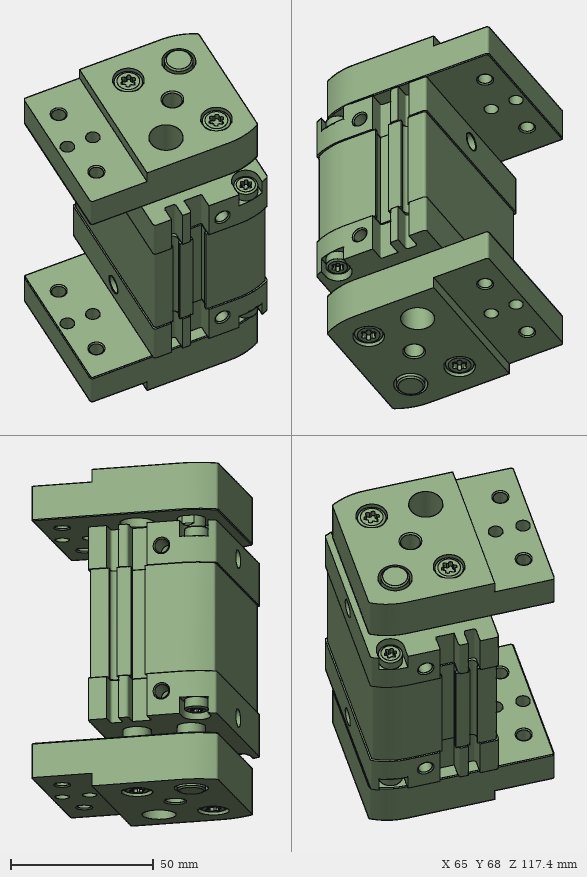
import cadquery as cq
import math

housing_width = 65.0
housing_depth = 46.0
housing_height = 70.4
cap_height = 15.4
barrel_inset = 0.6
shoulder_arc_length = 12.6
shoulder_arc_drop = 3.2
edge_round = 1.0

housing_top = housing_height / 2
barrel_top = housing_top - cap_height

port_diameter = 6.5
port_mouth_diameter = 6.9
port_below_top = 6.2
port_chamber_diameter = 6.7
port_chamber_height = 7.0
port_chamber_y = 5.4
side_port_diameter = 5.0
side_port_mouth_diameter = 6.0
side_port_below_top = 8.7
side_port_y = 26.8
side_port_depth = 9.4
drill_point_angle = 118

cap_screw_x = 27.7
cap_screw_y = 38.3
cap_pocket_diameter = 10.0
cap_pocket_depth = 5.9
cap_screw_head_diameter = 8.5
cap_screw_head_height = 3.9
cap_screw_socket_size = 4.5

wide_groove_y = 18.1
wide_groove_width = 6.8
narrow_groove_y = 9.0
narrow_groove_width = 4.3
groove_depth = 6.0
rib_round = 1.0
wide_floor_round = 0.5
narrow_floor_round = 0.9

wide_mouth_width = 5.2
wide_cavity_width = 6.5
wide_lip_thickness = 1.2
wide_cavity_depth = 4.8
narrow_mouth_width = 2.8
narrow_cavity_diameter = 4.0
narrow_cavity_x = 29.4

jaw_gap = 5.4
jaw_width = 54.0
jaw_rear_y = 45.0
jaw_front_y = -22.0
jaw_thickness = 17.1
jaw_step = 4.6
jaw_arc_length = 12.7
jaw_arc_drop = 3.4
jaw_edge_chamfer = 0.4

rod_diameter = 10.0
rod_x = 15.0
rod_spacing_y = 19.7
rod_middle_y = 23.1
rod_end_z = 58.7
rod_tip_chamfer = 0.6
rod_clearance_diameter = 12.0
flat_across = 8.9
long_flat_length = 2.8
short_flat_length = 0.1
flat_ramp_angle = 60

jaw_screw_bore_diameter = 11.0
jaw_screw_head_diameter = 10.0
jaw_screw_head_height = 6.0
jaw_screw_recess = 0.6
jaw_screw_socket_size = 5.5
socket_depth = 2.3

center_hole_diameter = 6.9
center_hole_mouth_diameter = 8.0
ledge_hole_diameter = 5.0
ledge_hole_mouth_diameter = 6.0
ledge_screw_hole_y = -14.0
ledge_pin_hole_ys = (-8.0, -18.0)

jaw_inner_z = housing_top + jaw_gap
jaw_outer_z = jaw_inner_z + jaw_thickness
rear_rod_y = rod_middle_y + rod_spacing_y / 2
front_rod_y = rod_middle_y - rod_spacing_y / 2


def cylinder(x, y, bottom_z, top_z, diameter):
    return cq.Workplane("XY", origin=(x, y, bottom_z)).circle(diameter / 2).extrude(top_z - bottom_z)


def box(x_range, y_range, z_range):
    size = [high - low for low, high in (x_range, y_range, z_range)]
    return cq.Workplane("XY", origin=(x_range[0], y_range[0], z_range[0])).box(*size, centered=False)


def flanked_block(width, front_y, rear_y, arc_length, arc_drop, bottom_z, height):
    """Block whose rear flanks curve inward, each arc tangent to its straight side."""
    radius = (arc_length**2 + arc_drop**2) / (2 * arc_drop)
    half_turn = math.asin(arc_length / radius) / 2
    half = width / 2
    arc_start_y = rear_y - arc_length
    middle_x = half - radius * (1 - math.cos(half_turn))
    middle_y = arc_start_y + radius * math.sin(half_turn)
    block = (
        cq.Workplane("XY", origin=(0, 0, bottom_z))
        .moveTo(-half, front_y)
        .lineTo(half, front_y)
        .lineTo(half, arc_start_y)
        .threePointArc((middle_x, middle_y), (half - arc_drop, rear_y))
        .lineTo(arc_drop - half, rear_y)
        .threePointArc((-middle_x, middle_y), (-half, arc_start_y))
        .close()
        .extrude(height)
    )
    corners = block.edges("|Z").edges("<Y or >Y")
    return block.newObject(corners.vals()).fillet(edge_round)


def mouth_chamfer(hole_diameter, mouth_diameter, origin, direction):
    """Cutting cone that widens a hole to its mouth; direction points into the part."""
    depth = (mouth_diameter - hole_diameter) / 2
    cone = cq.Solid.makeCone(mouth_diameter / 2, hole_diameter / 2, depth, origin, direction)
    return cq.Workplane(cone)


def screw_head(x, y, seat_z, diameter, height, socket_size):
    """Bevelled cylinder head with a six-lobed socket."""
    head_top = seat_z + height
    bevel_width = diameter / 10
    bevel_height = diameter / 20
    head = cylinder(x, y, seat_z, head_top, diameter)
    head = head.faces(">Z").chamfer(bevel_height, bevel_width)
    socket_floor = head_top - socket_depth
    lobe_diameter = 0.26 * socket_size
    lobe_reach = (socket_size - lobe_diameter) / 2
    socket = cylinder(x, y, socket_floor, head_top, 0.72 * socket_size)
    for lobe in range(6):
        angle = math.radians(90 + 60 * lobe)
        lobe_x = x + lobe_reach * math.cos(angle)
        lobe_y = y + lobe_reach * math.sin(angle)
        socket = socket.union(cylinder(lobe_x, lobe_y, socket_floor, head_top, lobe_diameter))
    return head.cut(socket)


def turned_over(body):
    """The same body after half a turn about the Y axis."""
    return body.rotate((0, 0, 0), (0, 1, 0), 180)


def barrel_grooves():
    """Left-hand sensor grooves along the barrel: a T-slot and a keyhole slot."""
    z_range = (-barrel_top, barrel_top)
    outside = -housing_width / 2
    face = outside + barrel_inset

    def slot(x_range, middle_y, width):
        return box(x_range, (middle_y - width / 2, middle_y + width / 2), z_range)

    wide_floor = face + wide_cavity_depth
    wide = slot((outside, wide_floor), wide_groove_y, wide_mouth_width)
    wide = wide.union(slot((face + wide_lip_thickness, wide_floor), wide_groove_y, wide_cavity_width))
    narrow = slot((outside, -narrow_cavity_x), narrow_groove_y, narrow_mouth_width)
    keyhole = cylinder(-narrow_cavity_x, narrow_groove_y, *z_range, narrow_cavity_diameter)
    return wide.union(narrow).union(keyhole)


def barrel():
    body = flanked_block(
        housing_width - 2 * barrel_inset,
        barrel_inset,
        housing_depth - barrel_inset,
        shoulder_arc_length - barrel_inset,
        shoulder_arc_drop,
        -barrel_top,
        2 * barrel_top,
    )
    grooves = barrel_grooves()
    return body.cut(grooves).cut(grooves.mirror("YZ"))


def cap_groove(middle_y, width):
    floor = groove_depth - housing_width / 2
    return box(
        (-housing_width / 2, floor),
        (middle_y - width / 2, middle_y + width / 2),
        (barrel_top, housing_top),
    )


def cap_side_features():
    """Everything cut into the left-hand side of the upper cap."""
    outside = -housing_width / 2
    wide = cap_groove(wide_groove_y, wide_groove_width)
    wide = wide.edges("|Z and >X").edges(">Y").fillet(wide_floor_round)
    narrow = cap_groove(narrow_groove_y, narrow_groove_width)
    narrow = narrow.edges("|Z and >X").fillet(narrow_floor_round)
    cut = wide.union(narrow)

    pocket_floor = housing_top - cap_pocket_depth
    half_pocket = cap_pocket_diameter / 2
    cut = cut.union(cylinder(-cap_screw_x, cap_screw_y, pocket_floor, housing_top, cap_pocket_diameter))
    cut = cut.union(
        box(
            (outside, -cap_screw_x),
            (cap_screw_y - half_pocket, cap_screw_y + half_pocket),
            (pocket_floor, housing_top),
        )
    )

    port_z = housing_top - side_port_below_top
    entry = cq.Vector(outside, side_port_y, port_z)
    inward = cq.Vector(1, 0, 0)
    radius = side_port_diameter / 2
    point_length = radius / math.tan(math.radians(drill_point_angle / 2))
    bore = cq.Solid.makeCylinder(radius, side_port_depth, entry, inward)
    point = cq.Solid.makeCone(radius, 0, point_length, entry + inward * side_port_depth, inward)
    mouth = mouth_chamfer(side_port_diameter, side_port_mouth_diameter, entry, inward)
    return cut.union(cq.Workplane(bore)).union(cq.Workplane(point)).union(mouth)


def upper_cap():
    cap = flanked_block(
        housing_width, 0, housing_depth, shoulder_arc_length, shoulder_arc_drop, barrel_top, cap_height
    )
    side = cap_side_features()
    cap = cap.cut(side).cut(side.mirror("YZ"))

    rib_rear_y = wide_groove_y - wide_groove_width / 2
    for sign in (-1, 1):
        rib_corner = (sign * housing_width / 2, rib_rear_y, housing_top - cap_height / 2)
        rib_edge = cq.selectors.NearestToPointSelector(rib_corner)
        cap = cap.edges("|Z").edges(rib_edge).fillet(rib_round)

    port_z = housing_top - port_below_top
    port = cq.Workplane("XZ", origin=(0, 0, port_z)).circle(port_diameter / 2).extrude(-housing_depth)
    entry = cq.Vector(0, 0, port_z)
    cap = cap.cut(port).cut(mouth_chamfer(port_diameter, port_mouth_diameter, entry, cq.Vector(0, 1, 0)))
    chamber_bottom = port_z - port_chamber_height / 2
    chamber_top = port_z + port_chamber_height / 2
    cap = cap.cut(cylinder(0, port_chamber_y, chamber_bottom, chamber_top, port_chamber_diameter))

    seat_z = housing_top - cap_pocket_depth
    for sign in (-1, 1):
        cap = cap.union(
            screw_head(
                sign * cap_screw_x,
                cap_screw_y,
                seat_z,
                cap_screw_head_diameter,
                cap_screw_head_height,
                cap_screw_socket_size,
            )
        )
    return cap


def make_housing():
    cap = upper_cap()
    housing = barrel().union(cap).union(turned_over(cap))
    upper_bores = cylinder(rod_x, rear_rod_y, -housing_top, housing_top, rod_diameter).union(
        cylinder(-rod_x, front_rod_y, -barrel_top, housing_top, rod_diameter)
    )
    return housing.cut(upper_bores).cut(turned_over(upper_bores))


def rod(x, y, bottom_z, flat_length):
    """Rod hanging from the jaw, with two wrench flats that run out in ramps below the jaw."""
    body = cylinder(x, y, bottom_z, jaw_inner_z, rod_diameter)
    flat_depth = (rod_diameter - flat_across) / 2
    flat_end_z = jaw_inner_z - flat_length
    ramp_end_z = flat_end_z - flat_depth * math.tan(math.radians(flat_ramp_angle))
    relief = (
        cq.Workplane("XZ", origin=(x, y + rod_diameter / 2, 0))
        .moveTo(flat_across / 2, jaw_inner_z)
        .lineTo(flat_across / 2, flat_end_z)
        .lineTo(rod_diameter / 2, ramp_end_z)
        .lineTo(rod_diameter / 2, jaw_inner_z)
        .close()
        .extrude(rod_diameter)
    )
    return body.cut(relief).cut(relief.rotate((x, y, 0), (x, y, 1), 180))


def jaw_plate():
    plate = flanked_block(
        jaw_width, jaw_front_y, jaw_rear_y, jaw_arc_length, jaw_arc_drop, jaw_inner_z, jaw_thickness
    )
    plate = plate.faces("<Z").chamfer(jaw_edge_chamfer)
    ledge_z = jaw_outer_z - jaw_step
    plate = plate.cut(box((-jaw_width / 2, jaw_width / 2), (jaw_front_y, 0), (ledge_z, jaw_outer_z)))

    for x, y in ((-rod_x, rear_rod_y), (rod_x, front_rod_y)):
        plate = plate.cut(cylinder(x, y, jaw_inner_z, jaw_outer_z, rod_clearance_diameter))

    down = cq.Vector(0, 0, -1)
    up = cq.Vector(0, 0, 1)
    plate = plate.cut(cylinder(0, rod_middle_y, jaw_inner_z, jaw_outer_z, center_hole_diameter))
    center_mouth = cq.Vector(0, rod_middle_y, jaw_outer_z)
    plate = plate.cut(mouth_chamfer(center_hole_diameter, center_hole_mouth_diameter, center_mouth, down))

    for y in ledge_pin_hole_ys:
        plate = plate.cut(cylinder(0, y, jaw_inner_z, ledge_z, ledge_hole_diameter))
    for x in (-rod_x, rod_x):
        plate = plate.cut(cylinder(x, ledge_screw_hole_y, jaw_inner_z, ledge_z, ledge_hole_diameter))
        for z, direction in ((ledge_z, down), (jaw_inner_z, up)):
            mouth = cq.Vector(x, ledge_screw_hole_y, z)
            plate = plate.cut(mouth_chamfer(ledge_hole_diameter, ledge_hole_mouth_diameter, mouth, direction))
    return plate


def make_upper_jaw():
    jaw = jaw_plate()
    head_top = jaw_outer_z - jaw_screw_recess
    seat_z = head_top - jaw_screw_head_height
    for x, y in ((rod_x, rear_rod_y), (-rod_x, front_rod_y)):
        jaw = jaw.cut(cylinder(x, y, seat_z, jaw_outer_z, jaw_screw_bore_diameter))
        jaw = jaw.union(
            screw_head(x, y, seat_z, jaw_screw_head_diameter, jaw_screw_head_height, jaw_screw_socket_size)
        )
    long_rod = rod(rod_x, rear_rod_y, -rod_end_z, long_flat_length)
    long_rod = long_rod.faces("<Z").chamfer(rod_tip_chamfer)
    short_rod = rod(-rod_x, front_rod_y, -barrel_top, short_flat_length)
    return jaw.union(long_rod).union(short_rod)


housing = make_housing()
upper_jaw = make_upper_jaw()
lower_jaw = turned_over(upper_jaw)

result = cq.Compound.makeCompound([housing.val(), upper_jaw.val(), lower_jaw.val()])